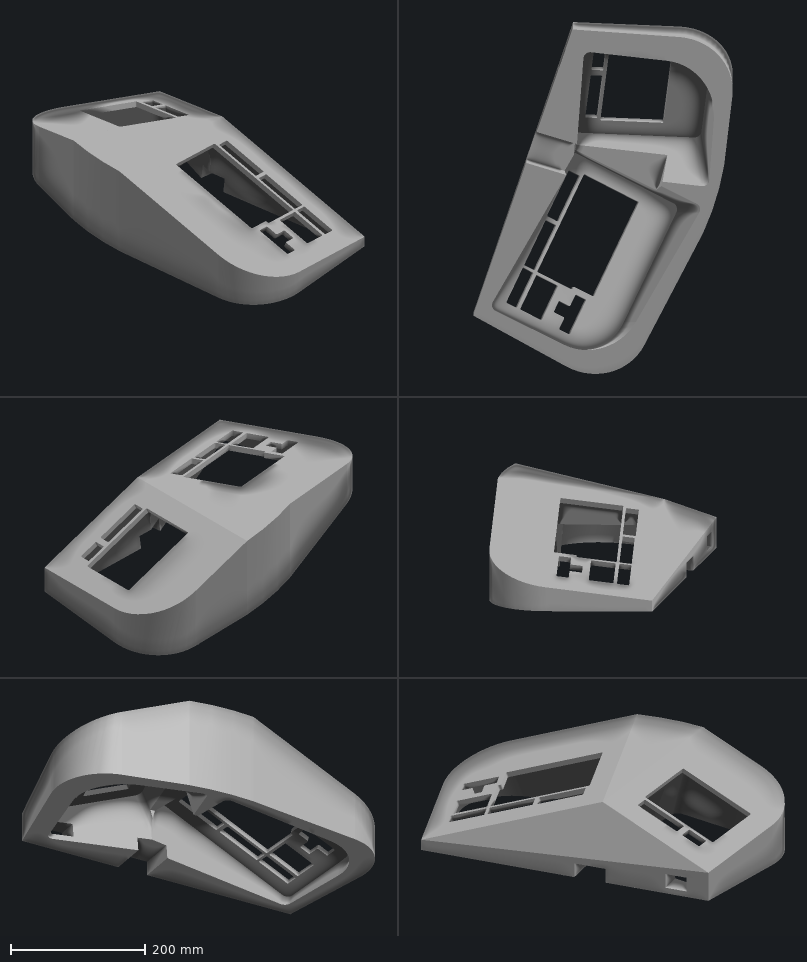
import cadquery as cq
import math

APEX_HEIGHT = 111.5
PANEL_DEPTH = 249.5
CENTRE_PITCH = 7.2
LEFT_SPLAY = 12.9
RIGHT_SPLAY = 12.1
WING_ROLL = 17.4
LEFT_WIDTH = 202.5
RIGHT_WIDTH = 295.0
FRONT_BULGE = 3.5
CORNER_RADIUS = 90.0

PLATE = 8.5
REAR_WALL = 13.0
SIDE_WALL = 15.0
FOLD_WALL = 12.5
FRONT_WALL = 37.5
CAVITY_CORNER = 10.0
WINDOW_DEPTH = 1.5 * PLATE
WINDOW_CORNER = 1.5
DROP = 322.0

LEFT_WINDOWS = [
    (40.0, 115.0, 35.5, 53.5),
    (124.5, 157.5, 35.5, 53.5),
    (36.0, 166.0, 58.5, 153.5),
]
RIGHT_WINDOWS = [
    (40.0, 116.0, 35.5, 55.0),
    (122.0, 197.0, 36.5, 55.0),
    (201.0, 259.5, 36.5, 55.0),
    (201.5, 259.0, 60.0, 97.0),
    (34.5, 197.0, 59.0, 119.0),
    (34.5, 191.5, 59.0, 153.5),
    (220.5, 239.5, 108.5, 145.5),
    (201.0, 259.0, 127.5, 145.5),
]

CABLE_NOTCH = (-22.0, 28.0, 0.0, 22.5)
REAR_OPENING_START = -29.5
SOCKET_OPENING = (-153.0, -119.0, 9.0, 31.5)

TUNNEL_WIDTH = 75.0
TUNNEL_HEIGHT = 71.0
TUNNEL_REAR = -27.0
TUNNEL_FRONT = -161.0

LEFT, RIGHT = -1, 1
apex = cq.Vector(0, 0, APEX_HEIGHT)
centre_plane = cq.Plane(origin=apex.toTuple()).rotated((-CENTRE_PITCH, 0, 0))


def wing_plane(side):
    """Plane of a wing: local -Y runs forward along the fold line."""
    splay = RIGHT_SPLAY if side == RIGHT else -LEFT_SPLAY
    return centre_plane.rotated((0, 0, splay)).rotated((0, side * WING_ROLL, 0))


def drop_to_base(outline):
    """Solid straight down from the outline of a top face to well below the base."""
    return cq.Workplane(cq.Solid.extrudeLinear(outline, [], cq.Vector(0, 0, -DROP)))


def wing_rectangle(side, near, far, rear, front):
    """Rectangle on a wing face."""
    width = far - near
    depth = front - rear
    middle = (side * (near + far) / 2, -(rear + front) / 2)
    return cq.Workplane(wing_plane(side)).center(*middle).rect(width, depth)


def wing_body(side, width):
    """One wing with its rounded front outer corner."""
    diagonal = CORNER_RADIUS * (1 - math.sqrt(0.5))
    profile = (
        cq.Workplane(wing_plane(side))
        .lineTo(side * width, 0)
        .lineTo(side * width, CORNER_RADIUS - PANEL_DEPTH)
        .threePointArc(
            (side * (width - diagonal), diagonal - PANEL_DEPTH),
            (side * (width - CORNER_RADIUS), -PANEL_DEPTH),
        )
        .lineTo(0, -PANEL_DEPTH)
        .close()
    )
    return drop_to_base(profile.wires().val())


def centre_body():
    """Wedge between the fold lines, with a front edge curved about the apex."""
    left_front = wing_plane(LEFT).toWorldCoords((0, -PANEL_DEPTH))
    right_front = wing_plane(RIGHT).toWorldCoords((0, -PANEL_DEPTH))
    front_middle = (left_front + right_front) / 2 - centre_plane.yDir * FRONT_BULGE
    outline = cq.Wire.assembleEdges([
        cq.Edge.makeLine(apex, left_front),
        cq.Edge.makeThreePointArc(left_front, front_middle, right_front),
        cq.Edge.makeLine(right_front, apex),
    ])
    return drop_to_base(outline)


def rear_body():
    """Triangular rear slope from the apex to the two outer rear corners."""
    left_corner = wing_plane(LEFT).toWorldCoords((-LEFT_WIDTH, 0))
    right_corner = wing_plane(RIGHT).toWorldCoords((RIGHT_WIDTH, 0))
    return drop_to_base(cq.Wire.makePolygon([apex, left_corner, right_corner], close=True))


body = (
    wing_body(LEFT, LEFT_WIDTH)
    .union(wing_body(RIGHT, RIGHT_WIDTH))
    .union(centre_body())
    .union(rear_body())
)
below_base = cq.Workplane().box(4 * DROP, 4 * DROP, 2 * DROP, centered=(True, True, False))
below_base = below_base.translate((0, 0, -2 * DROP))
body = body.cut(below_base)


def wing_cavity(side, width):
    """Hollow under a wing plate, square to the plate and open at the base."""
    plane = wing_plane(side)
    near = FOLD_WALL
    far = width - SIDE_WALL
    front = PANEL_DEPTH - FRONT_WALL
    cavity = wing_rectangle(side, near, far, REAR_WALL, front).extrude(-DROP)
    corners = [
        (near, REAR_WALL, CAVITY_CORNER),
        (near, front, CAVITY_CORNER),
        (far, REAR_WALL, CAVITY_CORNER),
        (far, front, CORNER_RADIUS - SIDE_WALL),
    ]
    for across, along, radius in corners:
        edge_middle = plane.toWorldCoords((side * across, -along, -DROP / 2))
        cavity = cavity.edges(cq.selectors.NearestToPointSelector(edge_middle.toTuple())).fillet(radius)
    return cavity.translate(plane.zDir * -PLATE)


def wing_windows(side, windows):
    """Windows cut square through a wing plate."""
    cutters = cq.Workplane()
    for window in windows:
        cutters = cutters.union(wing_rectangle(side, *window).extrude(-WINDOW_DEPTH))
    return cutters.edges(cq.selectors.ParallelDirSelector(wing_plane(side).zDir)).fillet(WINDOW_CORNER)


def rear_opening(left, right, bottom, top):
    """Rectangular opening running back through the rear wall."""
    return (
        cq.Workplane()
        .box(right - left, DROP, top - bottom, centered=False)
        .translate((left, REAR_OPENING_START, bottom))
    )


def cable_tunnel():
    """Passage joining the two cavities behind the centre face."""
    depth = TUNNEL_REAR - TUNNEL_FRONT
    tunnel = cq.Workplane().box(TUNNEL_WIDTH, depth, TUNNEL_HEIGHT, centered=(True, False, False))
    return tunnel.translate((0, TUNNEL_FRONT, 0))


result = (
    body.cut(wing_cavity(LEFT, LEFT_WIDTH))
    .cut(wing_cavity(RIGHT, RIGHT_WIDTH))
    .cut(wing_windows(LEFT, LEFT_WINDOWS))
    .cut(wing_windows(RIGHT, RIGHT_WINDOWS))
    .cut(cable_tunnel())
    .cut(rear_opening(*CABLE_NOTCH))
    .cut(rear_opening(*SOCKET_OPENING))
)